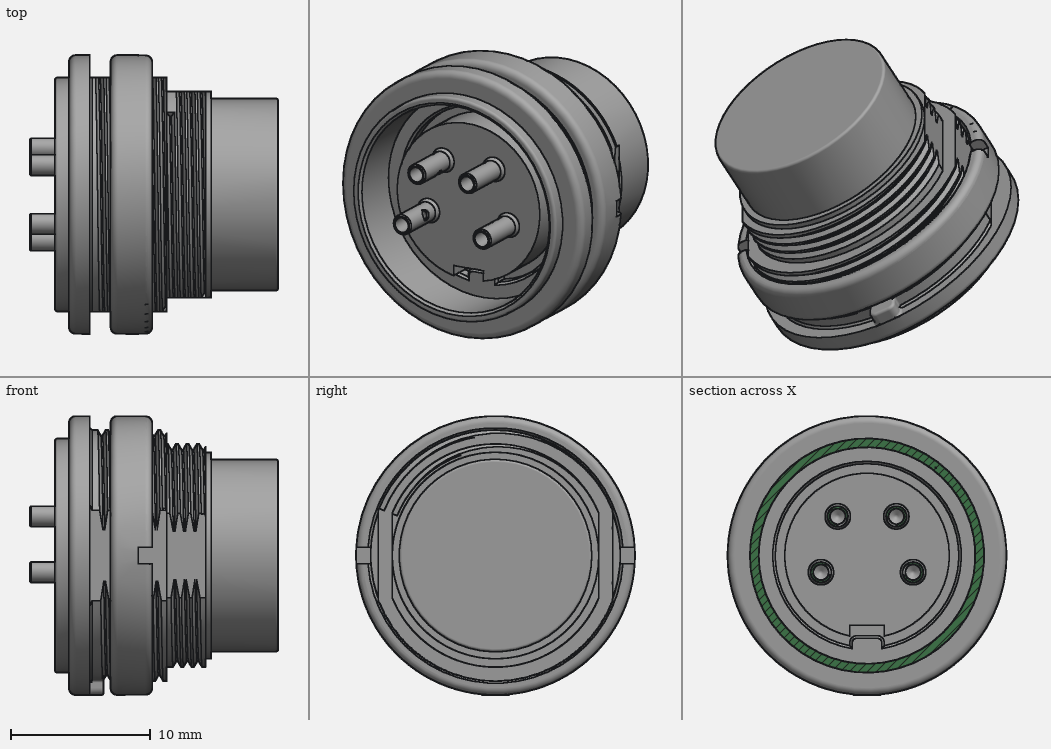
import cadquery as cq
import math


PIN_TIP_X = -4.3
SLEEVE_X = -2.5
FLANGE_X = -1.5
LARGE_THREAD_END = 5.5
SMALL_THREAD_END = 8.3
COLLAR_END = 8.7
BARREL_END = 13.5
NUT_X = 1.48
NUT_LENGTH = 3.0

FLANGE_DIA = 20.0
SLEEVE_DIA = 16.8
COLLAR_DIA = 14.8
BARREL_DIA = 13.8
LARGE_THREAD_DIA = 18.0
SMALL_THREAD_DIA = 16.0
SEAT_FILLET_DIA = 18.3
SEAT_FILLET_LENGTH = 0.17
RIM_ROUND = 0.5
EDGE_ROUND = 0.2

PITCH = 0.75
THREAD_DEPTH = 0.4
ROOT_FLAT = 0.12
FLANK_HALF_ANGLE = 30.0
CUTTER_OVERRUN = 0.08
LARGE_GROOVE_START_X = 0.66
LARGE_GROOVE_START_ANGLE = 90.0
LARGE_GROOVE_FULL_TURNS = 6
SMALL_GROOVE_START_X = 5.78
SMALL_GROOVE_START_ANGLE = 132.5
SMALL_GROOVE_FULL_TURNS = 3
GROOVE_END_ANGLE = 248.0

NUT_DIA = FLANGE_DIA
NUT_BORE_DIA = 17.9
NUT_BORE_MOUTH_DIA = 18.3
NUT_SLOT_WIDTH = 1.18
NUT_SLOT_DEPTH = 1.0

PEG_LENGTH = 1.0
PEG_WIDTH = 2.0
PEG_CORNER_ROUND = 0.5

BORE_DIA = 15.5
DISC_X = -0.45
RING_X = 1.5
MOAT_FLOOR_X = 2.5
RING_EMBED = 0.5
RING_DIA = BORE_DIA + 2 * RING_EMBED
MOAT_OUTER_DIA = 13.15
MOAT_INNER_DIA = 11.8
MOAT_CHAMFER = 0.18
NOTCH_WIDTH = 2.48
NOTCH_TOP_Z = -5.0
KEY_WIDTH = 2.48
KEY_TOP_Z = -5.75
KEY_CORNER_ROUND = 0.5

PIN_DIA = 1.48
PIN_BASE_DIA = 1.82
PIN_BASE_LENGTH = 0.3
PIN_TIP_CHAMFER = 0.1
CUP_DIA = 1.1
CUP_DEPTH = 2.8
CUP_TIP_ANGLE = 118.0
VENT_DIA = 0.8
VENT_FROM_TIP = 2.25
PIN_CENTRES = [(3.3, -1.2), (2.1, 2.8), (-2.1, 2.8), (-3.3, -1.2)]


def rod(x_start, x_end, diameter, y=0.0, z=0.0):
    """Cylinder along X."""
    length = x_end - x_start
    return cq.Workplane("YZ", origin=(x_start, y, z)).circle(diameter / 2).extrude(length)


def cone(x_start, x_end, dia_start, dia_end, y=0.0, z=0.0):
    """Cone along X; an end diameter of zero makes a point."""
    solid = cq.Solid.makeCone(
        dia_start / 2, dia_end / 2, x_end - x_start, cq.Vector(x_start, y, z), cq.Vector(1, 0, 0)
    )
    return cq.Workplane(solid)


def block(x_start, x_end, width, z_low, z_high):
    """Box centred on Y = 0."""
    size_x = x_end - x_start
    size_z = z_high - z_low
    return (
        cq.Workplane("XY", origin=((x_start + x_end) / 2, 0, z_low))
        .rect(size_x, width)
        .extrude(size_z)
    )


def thread_groove(diameter, start_x, start_angle, full_turns):
    """Helical V cutter around X whose root centre starts at start_x."""
    turns = full_turns + (GROOVE_END_ANGLE - start_angle) / 360
    root_radius = diameter / 2 - THREAD_DEPTH
    outer_radius = diameter / 2 + CUTTER_OVERRUN
    root_half = ROOT_FLAT / 2
    flank_rise = (outer_radius - root_radius) * math.tan(math.radians(FLANK_HALF_ANGLE))
    outer_half = root_half + flank_rise
    path = cq.Wire.makeHelix(PITCH, PITCH * turns, root_radius)
    cutter = (
        cq.Workplane("XZ")
        .moveTo(root_radius, -root_half)
        .lineTo(outer_radius, -outer_half)
        .lineTo(outer_radius, outer_half)
        .lineTo(root_radius, root_half)
        .close()
        .sweep(cq.Workplane(path), isFrenet=True)
    )
    return (
        cutter.rotate((0, 0, 0), (0, 0, 1), start_angle)
        .rotate((0, 0, 0), (0, 1, 0), 90)
        .translate((start_x, 0, 0))
    )


def threaded_length(x_start, x_end, diameter, across_flats, groove):
    """Threaded cylinder with flats on both Y sides."""
    stock = rod(x_start - PITCH, x_end + PITCH, diameter)
    threaded = stock.cut(groove)
    return threaded.intersect(block(x_start, x_end, across_flats, -diameter, diameter))


def make_shell():
    """Turned body: sleeve, flange, two threads, collar and barrel."""
    sleeve = rod(SLEEVE_X, 0, SLEEVE_DIA).faces("<X").edges().fillet(EDGE_ROUND)
    flange = rod(FLANGE_X, 0, FLANGE_DIA).faces("<X").edges().fillet(RIM_ROUND)
    seat_fillet = cone(0, SEAT_FILLET_LENGTH, SEAT_FILLET_DIA, LARGE_THREAD_DIA)
    seat_fillet = seat_fillet.intersect(block(0, SEAT_FILLET_LENGTH, SLEEVE_DIA, -FLANGE_DIA, FLANGE_DIA))
    large_groove = thread_groove(
        LARGE_THREAD_DIA, LARGE_GROOVE_START_X, LARGE_GROOVE_START_ANGLE, LARGE_GROOVE_FULL_TURNS
    )
    large_thread = threaded_length(0, LARGE_THREAD_END, LARGE_THREAD_DIA, SLEEVE_DIA, large_groove)
    small_groove = thread_groove(
        SMALL_THREAD_DIA, SMALL_GROOVE_START_X, SMALL_GROOVE_START_ANGLE, SMALL_GROOVE_FULL_TURNS
    )
    small_thread = threaded_length(
        LARGE_THREAD_END, SMALL_THREAD_END, SMALL_THREAD_DIA, COLLAR_DIA, small_groove
    )
    collar = rod(SMALL_THREAD_END, COLLAR_END, COLLAR_DIA)
    barrel = rod(COLLAR_END, BARREL_END, BARREL_DIA).faces(">X").edges().fillet(EDGE_ROUND)
    shell = sleeve
    for section in (flange, large_thread, seat_fillet, small_thread, collar, barrel):
        shell = shell.union(section)
    return shell


def make_nut():
    """Round ring nut with a slot on each Y side of its +X face."""
    nut_end = NUT_X + NUT_LENGTH
    mouth_depth = (NUT_BORE_MOUTH_DIA - NUT_BORE_DIA) / 2
    nut = rod(NUT_X, nut_end, NUT_DIA).edges().fillet(RIM_ROUND)
    nut = nut.cut(rod(NUT_X, nut_end, NUT_BORE_DIA))
    nut = nut.cut(cone(NUT_X, NUT_X + mouth_depth, NUT_BORE_MOUTH_DIA, NUT_BORE_DIA))
    nut = nut.cut(cone(nut_end - mouth_depth, nut_end, NUT_BORE_DIA, NUT_BORE_MOUTH_DIA))
    slot = block(nut_end - NUT_SLOT_DEPTH, nut_end, NUT_DIA, -NUT_SLOT_WIDTH / 2, NUT_SLOT_WIDTH / 2)
    return nut.cut(slot)


def make_peg():
    """Locating peg with small fillets where it meets the flange and the thread core."""
    peg = block(0, PEG_LENGTH, PEG_WIDTH, -FLANGE_DIA / 2, -SLEEVE_DIA / 2)
    peg = peg.edges("|X and <Z").fillet(PEG_CORNER_ROUND)
    peg = peg.faces(">X").edges("not >Z").fillet(EDGE_ROUND)
    seat = rod(FLANGE_X, 0, FLANGE_DIA + 2 * RIM_ROUND)
    core = rod(0, PEG_LENGTH, LARGE_THREAD_DIA)
    seated = seat.union(core).union(peg)
    root_zone = cq.selectors.BoxSelector(
        (-SEAT_FILLET_LENGTH, -PEG_WIDTH, -FLANGE_DIA / 2 + PEG_CORNER_ROUND),
        (PEG_LENGTH - EDGE_ROUND, PEG_WIDTH, -SLEEVE_DIA / 2),
    )
    seated = seated.edges(root_zone).fillet(SEAT_FILLET_LENGTH)
    return seated.intersect(block(0, PEG_LENGTH, 2 * PEG_WIDTH, -FLANGE_DIA / 2, -SLEEVE_DIA / 2))


def make_insert():
    """Bored socket floor: a keyed ring, a sunken moat and a raised disc inside it."""
    opening = rod(RING_X, MOAT_FLOOR_X, MOAT_OUTER_DIA)
    key = block(RING_X, MOAT_FLOOR_X, KEY_WIDTH, -MOAT_OUTER_DIA, KEY_TOP_Z)
    opening = opening.cut(key.edges("|X and >Z").fillet(KEY_CORNER_ROUND))
    ring = rod(RING_X, MOAT_FLOOR_X, RING_DIA).cut(opening)
    ring = ring.faces("<X").edges().chamfer(MOAT_CHAMFER)

    notch = block(DISC_X, MOAT_FLOOR_X, NOTCH_WIDTH, -MOAT_OUTER_DIA, NOTCH_TOP_Z)
    disc = rod(DISC_X, MOAT_FLOOR_X, MOAT_INNER_DIA).cut(notch)
    return ring.union(disc)


def cut_socket(body):
    """Bore the sleeve and chamfer its mouth."""
    mouth = cone(SLEEVE_X, SLEEVE_X + EDGE_ROUND, BORE_DIA + 2 * EDGE_ROUND, BORE_DIA)
    return body.cut(rod(SLEEVE_X, MOAT_FLOOR_X, BORE_DIA)).cut(mouth)


def make_pin(y, z):
    """Contact pin flaring into a short cone at the disc."""
    pin = rod(PIN_TIP_X, DISC_X, PIN_DIA, y, z).faces("<X").edges().chamfer(PIN_TIP_CHAMFER)
    return pin.union(cone(DISC_X - PIN_BASE_LENGTH, DISC_X, PIN_DIA, PIN_BASE_DIA, y, z))


def make_cup(y, z):
    """Drilled solder cup with a conical end."""
    cup_end = PIN_TIP_X + CUP_DEPTH
    tip_length = CUP_DIA / 2 / math.tan(math.radians(CUP_TIP_ANGLE / 2))
    cup_point = cone(cup_end, cup_end + tip_length, CUP_DIA, 0, y, z)
    return rod(PIN_TIP_X, cup_end, CUP_DIA, y, z).union(cup_point)


def make_vent(y, z):
    """Hole into the solder cup from the side of the pin that faces the connector axis."""
    vent = cq.Solid.makeCylinder(
        VENT_DIA / 2, PIN_DIA, cq.Vector(PIN_TIP_X + VENT_FROM_TIP, y, z), cq.Vector(0, -y, -z)
    )
    return cq.Workplane(vent)


result = cut_socket(make_shell().union(make_nut()).union(make_peg())).union(make_insert())
for pin_y, pin_z in PIN_CENTRES:
    result = result.union(make_pin(pin_y, pin_z))
    result = result.cut(make_cup(pin_y, pin_z)).cut(make_vent(pin_y, pin_z))